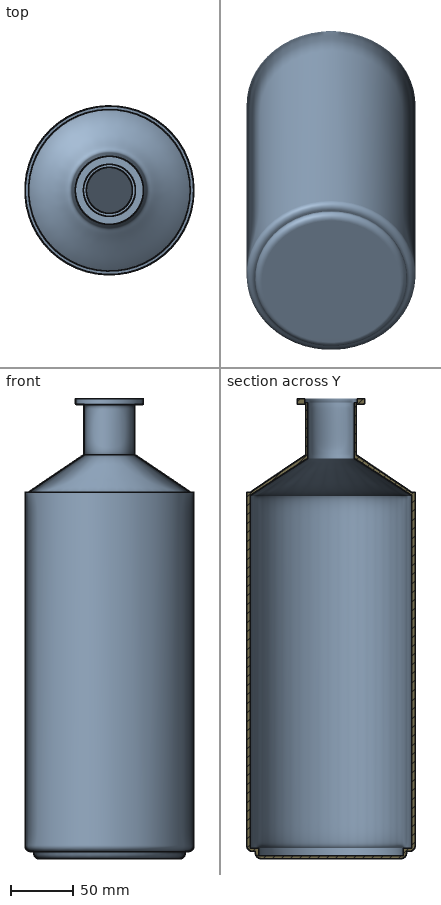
import cadquery as cq

height = 370.5
body_radius = 136.0 / 2
wall = 3.0

foot_radius = 61.0
foot_height = 6.0
foot_round = 5.2
body_round = 5.0

shoulder_base_z = 295.3
shoulder_top_z = 325.3
shoulder_base_radius = body_radius - wall

neck_radius = 41.0 / 2
bore_radius = 37.0 / 2
flange_radius = 55.0 / 2
flange_thickness = 5.0
flange_top_round = 0.7
flange_bottom_round = 1.5
mouth_radius = 42.0 / 2
mouth_depth = 3.0


def revolve_profile(points):
    """Turn an (r, z) outline around the Z axis."""
    return cq.Workplane("XZ").polyline(points).close().revolve(360, (0, 0), (0, 1))


def make_foot():
    foot = cq.Workplane("XY").circle(foot_radius).extrude(foot_height + body_round)
    return foot.faces("<Z").edges().fillet(foot_round)


def make_body():
    body = cq.Workplane("XY").workplane(offset=foot_height).circle(body_radius)
    body = body.extrude(shoulder_base_z - foot_height)
    return body.faces("<Z").edges().fillet(body_round)


def make_shoulder_and_neck():
    return revolve_profile([
        (0, shoulder_base_z),
        (shoulder_base_radius, shoulder_base_z),
        (neck_radius, shoulder_top_z),
        (neck_radius, height),
        (0, height),
    ])


def make_flange():
    flange = cq.Workplane("XY").workplane(offset=height - flange_thickness)
    flange = flange.circle(flange_radius).extrude(flange_thickness)
    flange = flange.faces(">Z").edges().fillet(flange_top_round)
    return flange.faces("<Z").edges().fillet(flange_bottom_round)


def make_cavity():
    """Inside of the vessel, including the stepped mouth."""
    foot_inner_radius = foot_radius - wall
    body_floor_z = foot_height + wall
    inner_radius = body_radius - wall
    return revolve_profile([
        (0, wall),
        (foot_inner_radius, wall),
        (foot_inner_radius, body_floor_z),
        (inner_radius, body_floor_z),
        (inner_radius, shoulder_base_z - wall),
        (bore_radius, shoulder_top_z - wall),
        (bore_radius, height - mouth_depth),
        (mouth_radius, height - mouth_depth),
        (mouth_radius, height),
        (0, height),
    ])


outside = make_foot().union(make_body()).union(make_shoulder_and_neck()).union(make_flange())
result = outside.cut(make_cavity())